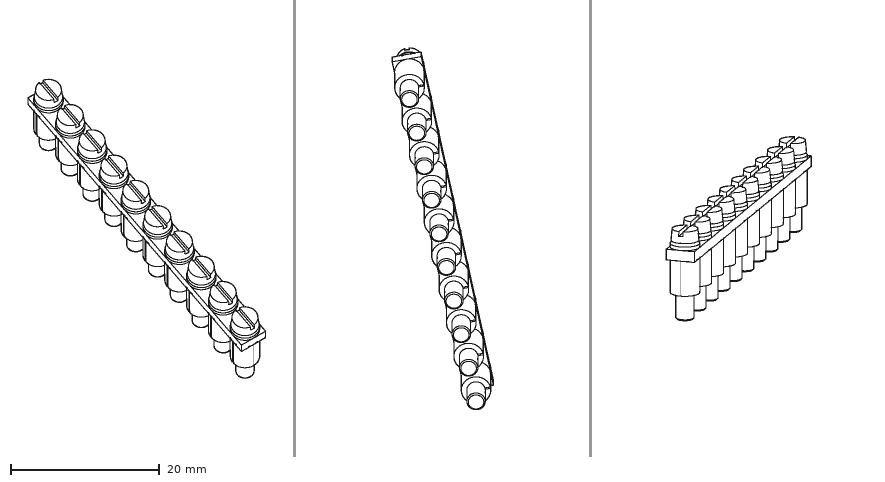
import cadquery as cq


bar_length = 49.9
bar_width = 4.0
bar_thickness = 1.5

screw_count = 10
first_screw_x = bar_width / 2
screw_pitch = (bar_length - 2 * first_screw_x) / (screw_count - 1)

sleeve_diameter = bar_width
sleeve_length = 4.9
slit_width = 0.2

shank_diameter = 2.5
shank_protrusion = 3.7
tip_chamfer = 0.2

washer_diameter = sleeve_diameter
washer_rim_height = 0.5
washer_cone_height = 0.3

neck_diameter = 2.2
neck_height = 0.15
head_bottom_diameter = 3.8
head_top_diameter = 3.5
head_height = 1.6
slot_width = 0.6
slot_depth = 0.65

tip_z = -sleeve_length - shank_protrusion
washer_rim_z = bar_thickness + washer_rim_height
washer_top_z = washer_rim_z + washer_cone_height
head_bottom_z = washer_top_z + neck_height
head_top_z = head_bottom_z + head_height


def make_bar():
    """Flat strip that carries the screws."""
    return cq.Workplane("XY").box(
        bar_length, bar_width, bar_thickness, centered=(False, True, False)
    )


def make_screw():
    """Turned body of screw, washer and sleeve about the Z axis, before slitting."""
    tip_radius = shank_diameter / 2 - tip_chamfer
    profile = [
        (0, tip_z),
        (tip_radius, tip_z),
        (shank_diameter / 2, tip_z + tip_chamfer),
        (shank_diameter / 2, -sleeve_length),
        (sleeve_diameter / 2, -sleeve_length),
        (washer_diameter / 2, washer_rim_z),
        (neck_diameter / 2, washer_top_z),
        (neck_diameter / 2, head_bottom_z),
        (head_bottom_diameter / 2, head_bottom_z),
        (head_top_diameter / 2, head_top_z),
        (0, head_top_z),
    ]
    return cq.Workplane("XZ").polyline(profile).close().revolve(360, (0, 0, 0), (0, 1, 0))


def make_driver_slot():
    """Cutter for the screwdriver slot, running along X across the head."""
    return cq.Workplane("XY", origin=(0, 0, head_top_z - slot_depth)).box(
        head_bottom_diameter, slot_width, slot_depth, centered=(True, True, False)
    )


def make_sleeve_slit():
    """Cutter for the slit through the -Y wall of the sleeve."""
    block = cq.Workplane("XY", origin=(0, -sleeve_diameter / 4, -sleeve_length)).box(
        slit_width, sleeve_diameter / 2, sleeve_length, centered=(True, True, False)
    )
    shank = cq.Workplane("XY", origin=(0, 0, -sleeve_length)).circle(shank_diameter / 2)
    return block.cut(shank.extrude(sleeve_length))


screw = make_screw().cut(make_driver_slot()).cut(make_sleeve_slit())

result = make_bar()
for index in range(screw_count):
    screw_x = first_screw_x + index * screw_pitch
    result = result.union(screw.translate((screw_x, 0, 0)))